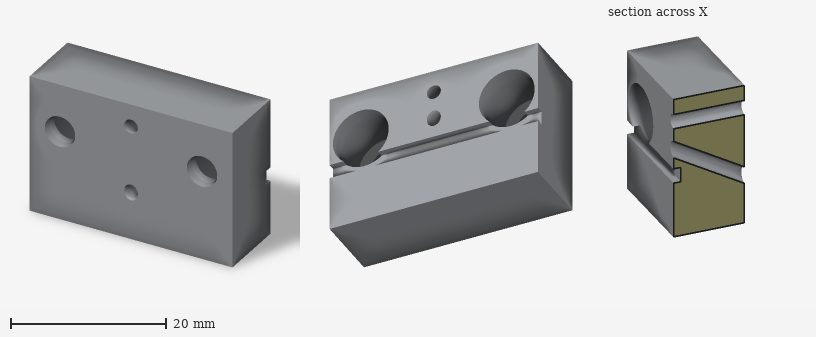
import cadquery as cq
import math

length = 30.0
depth = length / 3
height = 2 * length / 3
front_y = -depth / 2
back_y = depth / 2

mount_diameter = 4.5
mount_spacing = 21.0
mount_z = 3.0
counterbore_diameter = 8.0
counterbore_depth = 7.5
pin_diameter = 2.0
pin_z = 6.75

inclined_diameter = 2.0
inclined_entry_z = -3.05
incline_angle = 30.0

groove_depth = 1.0
groove_top_z = -0.12
groove_width = 2.0


def hole_from_back(x, z, diameter, hole_depth):
    """Cylinder along Y, sunk from the back face toward the front."""
    return cq.Workplane("XZ", origin=(x, back_y, z)).circle(diameter / 2).extrude(hole_depth)


def inclined_hole():
    """Cylinder through the block, rising from front to back."""
    angle = math.radians(incline_angle)
    direction = cq.Vector(0, math.cos(angle), math.sin(angle))
    entry = cq.Vector(0, front_y, inclined_entry_z)
    start = entry - direction * depth
    return cq.Workplane(cq.Solid.makeCylinder(inclined_diameter / 2, 3 * depth, start, direction))


def back_groove():
    """Rectangular bar running the full length of the block."""
    centre = (0, back_y - groove_depth / 2, groove_top_z - groove_width / 2)
    return cq.Workplane("XY", origin=centre).box(length, groove_depth, groove_width)


result = cq.Workplane("XY").box(length, depth, height)
for mount_x in (-mount_spacing / 2, mount_spacing / 2):
    result = result.cut(hole_from_back(mount_x, mount_z, mount_diameter, depth))
    result = result.cut(hole_from_back(mount_x, mount_z, counterbore_diameter, counterbore_depth))
result = result.cut(hole_from_back(0, pin_z, pin_diameter, depth))
result = result.cut(inclined_hole())
result = result.cut(back_groove())